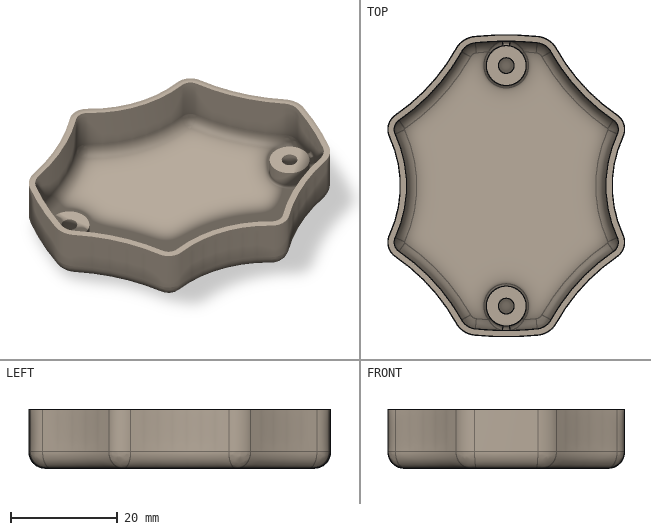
import cadquery as cq

length = 56.9
height = 11.1
wall = 1.2
floor = wall
floor_edge_radius = 3.15

waist_x = 19.95
end_y = length / 2
end_corner = (8.4, 27.8)
side_corner = (23.4, 11.8)
scallop_middle = (14.55, 18.8)
end_corner_radius = 4.55
side_corner_radius = 3.3

boss_spacing = 45.3
boss_radius = 3.75
boss_height = 3.5
boss_base_fillet = 0.45
boss_hole_radius = 1.5
boss_centres = [(0, boss_spacing / 2), (0, -boss_spacing / 2)]

pick_margin = 0.05


def mirrored(point, x_sign, y_sign):
    """Copy of a point moved into the quadrant given by the signs."""
    return (x_sign * point[0], y_sign * point[1])


def scalloped_block():
    """Full-height block with bowed ends, hollow sides and rounded corners."""
    outline = cq.Workplane("XY").moveTo(*mirrored(end_corner, -1, 1))
    for sign in (1, -1):
        outline = (
            outline
            .threePointArc((0, sign * end_y), mirrored(end_corner, sign, sign))
            .threePointArc(mirrored(scallop_middle, sign, sign), mirrored(side_corner, sign, sign))
            .threePointArc((sign * waist_x, 0), mirrored(side_corner, sign, -sign))
            .threePointArc(mirrored(scallop_middle, sign, -sign), mirrored(end_corner, sign, -sign))
        )
    block = outline.close().extrude(height)
    block = block.edges("|Z").edges(">X or <X").fillet(side_corner_radius)
    return block.edges("|Z").edges(">Y or <Y").fillet(end_corner_radius)


def cup():
    """Open-topped cup with an even wall and floor, rounded at the floor edge inside and out."""
    rounded_block = scalloped_block().faces("<Z").edges().fillet(floor_edge_radius)
    return rounded_block.faces(">Z").shell(-wall)


def boss_cylinders(radius):
    """Cylinders of boss height on the floor at both boss centres."""
    floor_plane = cq.Workplane("XY", origin=(0, 0, floor))
    return floor_plane.pushPoints(boss_centres).circle(radius).extrude(boss_height)


def add_bosses(body):
    """Two round bosses blended into the floor, with blind holes down to floor level."""
    body = body.union(boss_cylinders(boss_radius))
    for x, y in boss_centres:
        foot_box = cq.selectors.BoxSelector(
            (x - boss_radius, y - boss_radius, floor - pick_margin),
            (x + boss_radius, y + boss_radius, floor + boss_height - pick_margin),
        )
        body = body.edges(foot_box).edges("not |Z").fillet(boss_base_fillet)
    return body.cut(boss_cylinders(boss_hole_radius))


result = add_bosses(cup())